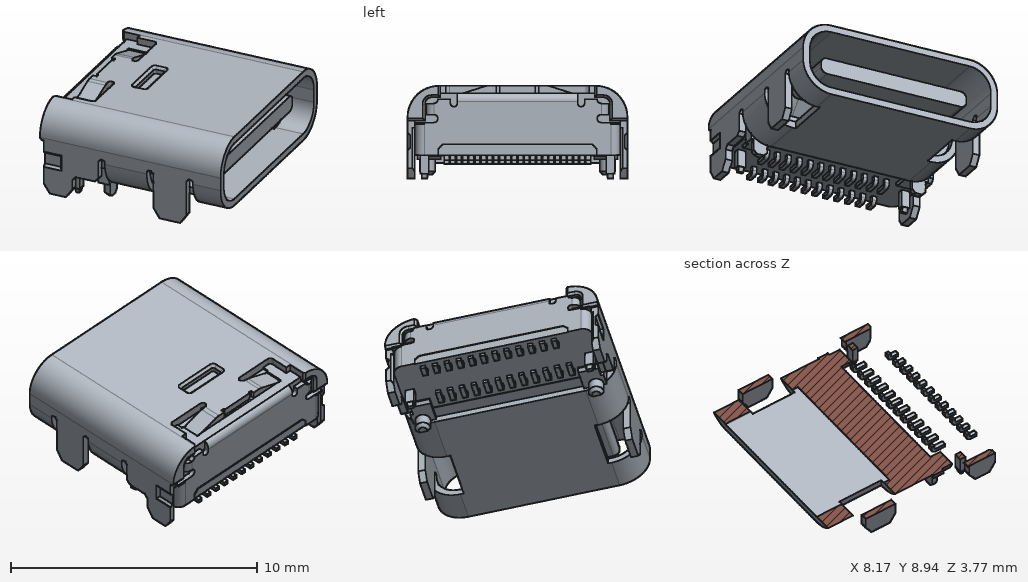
import cadquery as cq

LENGTH = 8.17
WIDTH = 8.94
HEIGHT = 3.77
HALF_WIDTH = WIDTH / 2

WALL = 0.3
SHELL_BOTTOM = 0.63
SHELL_RADIUS = 1.29
SHELL_INNER_RADIUS = SHELL_RADIUS - WALL
INNER_HALF_WIDTH = HALF_WIDTH - WALL
INNER_TOP = HEIGHT - WALL
MID_HEIGHT = (HEIGHT + SHELL_BOTTOM) / 2
BOTTOM_START = 2.94
SIDE_START = 0.17
SIDE_TOP = 2.36
SIDE_CHAMFER = 0.1
SLOT_TOP = 2.07
SLOT_WIDTH = 0.295
SLOT_ROUND = 0.11

FOOT_CHAMFER_HEIGHT = 0.42
REAR_FOOT_END = 1.475
REAR_FOOT_TIP_START = 0.46
REAR_FOOT_TIP_END = 1.17
MOUTH_FOOT_TIP_START = 5.42
MOUTH_FOOT_TIP_END = 6.34
PLATE_BOTTOM = 1.02
PLATE_STEP = 0.16
REAR_SLOT_START = BOTTOM_START - SLOT_WIDTH
MOUTH_FOOT_START = 5.13
MOUTH_FOOT_END = 6.625
MOUTH_NOTCH_HALF_WIDTH = 3.04

CAP_LENGTH = 0.805
CAP_BOTTOM = 2.36
CAP_INNER_Y = 3.755
CAP_INNER_Z = 3.3
CAP_EDGE_Y = 3.13
CAP_INNER_ROUND = 0.27
CAP_CHAMFER = 0.1

CUTOUT_HALF_WIDTH = 2.905
CUTOUT_END = 1.72
CUTOUT_ROUND = 0.13
CENTRE_HALF_WIDTH = 1.16
CENTRE_START = 0.64
CENTRE_STEP = 0.1
CENTRE_STEP_HALF_WIDTH = 0.715
CENTRE_NOTCH_DEPTH = 0.16
CENTRE_NOTCH_WIDTH = 0.14
RELIEF_WIDTH = 0.27
RELIEF_START = CUTOUT_END - RELIEF_WIDTH
RELIEF_ROUND = 0.125
RELIEF_TIP_Y = 1.01
RELIEF_FLOOR_Y = 2.49
TAB_BEND_Y = 1.35
TAB_BEND_DROP = 0.032
TAB_TIP_Y = 2.43
TAB_TIP_Z = 3.4
WINDOW_X = 2.79
WINDOW_LENGTH = 0.48
WINDOW_WIDTH = 1.86
WINDOW_ROUND = 0.1
WINDOW_BEVEL = 0.12

INDENT_END = 0.98
INDENT_DEPTH = 0.125
INDENT_BOTTOM = 1.16
INDENT_TOP = 1.86
INDENT_BEVEL = 0.11

HOUSING_END = 4.56
HOUSING_BOTTOM = 0.96
PAD_START = 1.94
PAD_BOTTOM = 0.78
PAD_INNER_Y = 3.11
PAD_OUTER_Y = 3.95
PAD_CHAMFER = 0.125
STEP_START = 2.45
STEP_HALF_WIDTH = 4.07
HOUSING_CORNER = 0.38
NOSE_DROP = 0.32
FACE_SETBACK = 0.215
NOSE_HALF_WIDTH = 2.44
CLEARANCE_DEPTH = 0.03
CLEARANCE_HALF_WIDTH = 3.22
CLEARANCE_TOP = 1.395
CLEARANCE_BEVEL = 0.19
TONGUE_THICKNESS = 0.7
TONGUE_HALF_WIDTH = 3.34
TONGUE_END = 7.6
TONGUE_ROUND = 0.27
COLLAR_LENGTH = 0.55
COLLAR_TAPER = 0.545

CONTACT_PITCH = 0.25
CONTACT_COUNT = 24
CONTACT_WIDTH = 0.2
CONTACT_THICKNESS = 0.15
CONTACT_BOTTOM = 0.59
CONTACT_BEND_RADIUS = 0.2
REAR_ROW_TIP = 0.03
REAR_ROW_BEND = 0.54
INNER_ROW_TIP = 1.43
INNER_ROW_BEND = 2.1


def block(x0, x1, y0, y1, z0, z1):
    return cq.Workplane("XY").box(x1 - x0, y1 - y0, z1 - z0, centered=False).translate((x0, y0, z0))


def both_sides(body):
    return body.union(body.mirror("XZ"))


def side_prism(sketch, y0, y1):
    """Extrude an XZ outline from y0 to y1."""
    return sketch.extrude(-(y1 - y0)).translate((0, y0, 0))


def rounded_bar(x0, x1, half_width, z0, z1, radius):
    bar = block(x0, x1, -half_width, half_width, z0, z1)
    return bar.edges("|X").fillet(radius)


def make_shell():
    shell = rounded_bar(0, LENGTH, HALF_WIDTH, SHELL_BOTTOM, HEIGHT, SHELL_RADIUS)
    shell = shell.cut(
        rounded_bar(0, LENGTH, INNER_HALF_WIDTH, SHELL_BOTTOM + WALL, INNER_TOP, SHELL_INNER_RADIUS)
    )
    underside = block(0, BOTTOM_START, -HALF_WIDTH, HALF_WIDTH, 0, SLOT_TOP)
    shell = shell.cut(underside.edges("|Y and >X and >Z").fillet(SLOT_ROUND))
    shell = shell.cut(block(0, SIDE_START, -HALF_WIDTH, HALF_WIDTH, 0, CAP_BOTTOM))
    notch = block(
        MOUTH_FOOT_START - SLOT_WIDTH, MOUTH_FOOT_END + SLOT_WIDTH,
        MOUTH_NOTCH_HALF_WIDTH, HALF_WIDTH, 0, SLOT_TOP,
    )
    notch = notch.edges("|Y and >Z").fillet(SLOT_ROUND)
    shell = shell.cut(both_sides(notch))

    rear_outline = (
        cq.Workplane("XZ")
        .moveTo(SIDE_START, SIDE_TOP)
        .lineTo(SIDE_START, FOOT_CHAMFER_HEIGHT)
        .lineTo(REAR_FOOT_TIP_START, 0)
        .lineTo(REAR_FOOT_TIP_END, 0)
        .lineTo(REAR_FOOT_END, FOOT_CHAMFER_HEIGHT)
        .lineTo(REAR_FOOT_END, PLATE_BOTTOM - PLATE_STEP)
        .lineTo(REAR_FOOT_END + PLATE_STEP, PLATE_BOTTOM)
        .lineTo(REAR_SLOT_START - PLATE_STEP, PLATE_BOTTOM)
        .lineTo(REAR_SLOT_START, PLATE_BOTTOM + PLATE_STEP)
        .lineTo(REAR_SLOT_START, SLOT_TOP - SLOT_ROUND)
        .lineTo(REAR_SLOT_START + SLOT_ROUND, SLOT_TOP)
        .lineTo(REAR_SLOT_START + SLOT_ROUND, SIDE_TOP)
        .close()
    )
    mouth_outline = (
        cq.Workplane("XZ")
        .moveTo(MOUTH_FOOT_START - SLOT_ROUND, SIDE_TOP)
        .lineTo(MOUTH_FOOT_START - SLOT_ROUND, SLOT_TOP)
        .lineTo(MOUTH_FOOT_START, SLOT_TOP - SLOT_ROUND)
        .lineTo(MOUTH_FOOT_START, FOOT_CHAMFER_HEIGHT)
        .lineTo(MOUTH_FOOT_TIP_START, 0)
        .lineTo(MOUTH_FOOT_TIP_END, 0)
        .lineTo(MOUTH_FOOT_END, FOOT_CHAMFER_HEIGHT)
        .lineTo(MOUTH_FOOT_END, SLOT_TOP - SLOT_ROUND)
        .lineTo(MOUTH_FOOT_END + SLOT_ROUND, SLOT_TOP)
        .lineTo(MOUTH_FOOT_END + SLOT_ROUND, SIDE_TOP)
        .close()
    )
    rear_foot = side_prism(rear_outline, INNER_HALF_WIDTH, HALF_WIDTH)
    rear_foot = rear_foot.faces("<X").edges("<Y").chamfer(SIDE_CHAMFER)
    mouth_foot = side_prism(mouth_outline, INNER_HALF_WIDTH, HALF_WIDTH)
    shell = shell.union(both_sides(rear_foot)).union(both_sides(mouth_foot))
    return cut_top_wall(shell)


def cut_top_wall(shell):
    cutout = block(-0.09, CUTOUT_END, -CUTOUT_HALF_WIDTH, CUTOUT_HALF_WIDTH, INNER_TOP, HEIGHT)
    cutout = cutout.edges("|Z and >X").fillet(CUTOUT_ROUND)
    shell = shell.cut(cutout)
    shell = shell.cut(block(0, CAP_LENGTH, -HALF_WIDTH, HALF_WIDTH, CAP_BOTTOM, HEIGHT))

    centre = block(
        CENTRE_START, CUTOUT_END, -CENTRE_HALF_WIDTH, CENTRE_HALF_WIDTH, INNER_TOP, HEIGHT
    )
    centre = centre.cut(
        block(
            CENTRE_START, CENTRE_START + CENTRE_STEP,
            -CENTRE_STEP_HALF_WIDTH, CENTRE_STEP_HALF_WIDTH, INNER_TOP, HEIGHT,
        )
    )
    edge_notch = block(
        CENTRE_START, CENTRE_START + CENTRE_NOTCH_DEPTH,
        CENTRE_STEP_HALF_WIDTH, CENTRE_STEP_HALF_WIDTH + CENTRE_NOTCH_WIDTH, INNER_TOP, HEIGHT,
    )
    relief = block(RELIEF_START, CUTOUT_END, RELIEF_TIP_Y, CENTRE_HALF_WIDTH, INNER_TOP, HEIGHT)
    relief = relief.edges("|Z and <Y").fillet(RELIEF_ROUND)
    return shell.union(centre.cut(both_sides(edge_notch)).cut(both_sides(relief)))


def make_tab():
    """Spring tab bent down from the centre of the top wall into the housing."""
    bend_width = TAB_BEND_Y - CENTRE_HALF_WIDTH
    bend_radius = (bend_width**2 + TAB_BEND_DROP**2) / (2 * TAB_BEND_DROP)
    tab = (
        cq.Workplane("YZ")
        .moveTo(CENTRE_HALF_WIDTH, HEIGHT)
        .radiusArc((TAB_BEND_Y, HEIGHT - TAB_BEND_DROP), bend_radius)
        .lineTo(TAB_TIP_Y, TAB_TIP_Z)
        .lineTo(TAB_TIP_Y, TAB_TIP_Z - WALL)
        .lineTo(CENTRE_HALF_WIDTH, TAB_TIP_Z - WALL)
        .close()
        .extrude(RELIEF_START - CENTRE_START)
        .translate((CENTRE_START, 0, 0))
    )
    return tab


def make_cap():
    inner = CAP_INNER_ROUND
    cap = (
        cq.Workplane("YZ")
        .moveTo(CAP_EDGE_Y, HEIGHT)
        .lineTo(HALF_WIDTH - SHELL_RADIUS, HEIGHT)
        .radiusArc((HALF_WIDTH, HEIGHT - SHELL_RADIUS), SHELL_RADIUS)
        .lineTo(HALF_WIDTH, CAP_BOTTOM)
        .lineTo(CAP_INNER_Y, CAP_BOTTOM)
        .lineTo(CAP_INNER_Y, CAP_INNER_Z - inner)
        .radiusArc((CAP_INNER_Y - inner, CAP_INNER_Z), -inner)
        .lineTo(CAP_EDGE_Y, CAP_INNER_Z)
        .close()
        .extrude(CAP_LENGTH)
    )
    inner_edges = cq.selectors.BoxSelector(
        (-0.09, CAP_EDGE_Y - 0.09, CAP_BOTTOM + 0.09), (0.09, CAP_INNER_Y + 0.09, HEIGHT - 0.09)
    )
    bottom_edge = cq.selectors.StringSyntaxSelector("|Y and <X and <Z")
    return cap.edges(inner_edges + bottom_edge).chamfer(CAP_CHAMFER)


def make_window():
    """Bevelled window through the top wall."""
    def outline(growth):
        length = WINDOW_LENGTH + 2 * growth
        width = WINDOW_WIDTH + 2 * growth
        return cq.Sketch().rect(length, width).vertices().fillet(WINDOW_ROUND + growth / 2)

    straight = cq.Workplane("XY", origin=(WINDOW_X, 0, INNER_TOP)).placeSketch(outline(0)).extrude(WALL)
    bevel = cq.Workplane("XY", origin=(WINDOW_X, 0, HEIGHT - WINDOW_BEVEL)).placeSketch(
        outline(0), outline(WINDOW_BEVEL).moved(cq.Location(cq.Vector(0, 0, WINDOW_BEVEL)))
    ).loft()
    return straight.union(bevel)


def make_indent():
    indent = block(
        SIDE_START, INDENT_END, HALF_WIDTH - INDENT_DEPTH, HALF_WIDTH, INDENT_BOTTOM, INDENT_TOP
    )
    return indent.edges("<Y and (not <X)").chamfer(INDENT_BEVEL)


def make_face_recess():
    """Stepped recess in the upper corner of the housing rear face."""
    slot_radius = 0.14
    lobe_radius = 0.16
    lobe_y = 3.4
    lobe_bottom = 2.28
    shoulder_z = 3.22
    shoulder_y = 3.24
    slot_outer_y = NOSE_HALF_WIDTH + 2 * slot_radius
    slot_z = 3.07
    return (
        cq.Workplane("YZ")
        .moveTo(NOSE_HALF_WIDTH, HEIGHT)
        .lineTo(NOSE_HALF_WIDTH, slot_z)
        .radiusArc((slot_outer_y, slot_z), -slot_radius)
        .lineTo(slot_outer_y, shoulder_z)
        .lineTo(shoulder_y, shoulder_z)
        .radiusArc((lobe_y, shoulder_z - lobe_radius), -lobe_radius)
        .lineTo(lobe_y, lobe_bottom + 2 * lobe_radius)
        .radiusArc((lobe_y, lobe_bottom), -lobe_radius)
        .lineTo(HALF_WIDTH, lobe_bottom)
        .lineTo(HALF_WIDTH, HEIGHT)
        .close()
        .extrude(FACE_SETBACK)
    )


def make_housing():
    housing = rounded_bar(
        0, HOUSING_END, INNER_HALF_WIDTH, SHELL_BOTTOM + WALL, INNER_TOP, SHELL_INNER_RADIUS
    )
    housing = housing.cut(block(0, STEP_START, -HALF_WIDTH, HALF_WIDTH, 0, MID_HEIGHT))
    lower = block(
        0, STEP_START, -INNER_HALF_WIDTH, INNER_HALF_WIDTH, HOUSING_BOTTOM, HEIGHT - SHELL_RADIUS
    )
    lower = lower.edges("|Z and <X").fillet(HOUSING_CORNER)
    pad = block(PAD_START, STEP_START, PAD_INNER_Y, PAD_OUTER_Y, PAD_BOTTOM, HOUSING_BOTTOM)
    pad = pad.edges("|Y and <X and <Z").chamfer(PAD_CHAMFER)
    step = block(STEP_START, BOTTOM_START, PAD_INNER_Y, STEP_HALF_WIDTH, PAD_BOTTOM, MID_HEIGHT)
    housing = housing.union(lower).union(both_sides(pad)).union(both_sides(step))

    nose_bottom = INNER_TOP - NOSE_DROP
    nose_radius = (FACE_SETBACK**2 + NOSE_DROP**2) / (2 * FACE_SETBACK)
    nose = (
        cq.Workplane("XZ")
        .moveTo(0, nose_bottom)
        .radiusArc((FACE_SETBACK, INNER_TOP), nose_radius)
        .lineTo(0, INNER_TOP)
        .close()
    )
    housing = housing.cut(side_prism(nose, -NOSE_HALF_WIDTH, NOSE_HALF_WIDTH))
    housing = housing.cut(both_sides(make_face_recess()))

    clearance = block(
        0, CLEARANCE_DEPTH, -CLEARANCE_HALF_WIDTH, CLEARANCE_HALF_WIDTH, HOUSING_BOTTOM, CLEARANCE_TOP
    )
    clearance = clearance.edges("|X and >Z").chamfer(CLEARANCE_BEVEL)
    housing = housing.cut(clearance)

    sunken = block(CENTRE_START, RELIEF_START, -TAB_TIP_Y, TAB_TIP_Y, TAB_TIP_Z, INNER_TOP)
    housing = housing.cut(sunken)
    relief_floor = block(
        RELIEF_START, CUTOUT_END, -RELIEF_FLOOR_Y, RELIEF_FLOOR_Y, TAB_TIP_Z, INNER_TOP
    )
    housing = housing.cut(relief_floor)
    return housing.union(both_sides(make_pillar()))


def make_pillar():
    """Rounded pillar standing in the corner recess."""
    inner_y = 3.4
    outer_y = 3.7
    bottom = 2.6
    top = 3.05
    radius = ((outer_y - inner_y) ** 2 + FACE_SETBACK**2) / (2 * FACE_SETBACK)
    return (
        cq.Workplane("XY")
        .moveTo(0, inner_y)
        .radiusArc((FACE_SETBACK, outer_y), radius)
        .lineTo(FACE_SETBACK + 0.09, outer_y)
        .lineTo(FACE_SETBACK + 0.09, inner_y)
        .close()
        .extrude(top - bottom)
        .translate((0, 0, bottom))
    )


def make_tongue():
    """Rounded contact tongue on a tapered collar at the front of the housing."""
    half = TONGUE_THICKNESS / 2
    tongue = rounded_bar(
        HOUSING_END, TONGUE_END, TONGUE_HALF_WIDTH,
        MID_HEIGHT - half, MID_HEIGHT + half, TONGUE_ROUND,
    )
    collar_half = half + COLLAR_LENGTH
    collar = rounded_bar(
        HOUSING_END, HOUSING_END + COLLAR_LENGTH, TONGUE_HALF_WIDTH + COLLAR_LENGTH,
        MID_HEIGHT - collar_half, MID_HEIGHT + collar_half, TONGUE_ROUND + COLLAR_LENGTH,
    )
    return tongue.union(collar.faces(">X").chamfer(COLLAR_TAPER))


def make_contact(tip_x, bend_x, y):
    """L-shaped contact: a flat foot with a rounded bend up into the housing."""
    outer = CONTACT_BEND_RADIUS
    inner = outer - CONTACT_THICKNESS
    top = HOUSING_BOTTOM + 0.09
    outline = (
        cq.Workplane("XZ")
        .moveTo(tip_x, CONTACT_BOTTOM)
        .lineTo(bend_x - outer, CONTACT_BOTTOM)
        .radiusArc((bend_x, CONTACT_BOTTOM + outer), -outer)
        .lineTo(bend_x, top)
        .lineTo(bend_x - CONTACT_THICKNESS, top)
        .lineTo(bend_x - CONTACT_THICKNESS, CONTACT_BOTTOM + outer)
        .radiusArc((bend_x - outer, CONTACT_BOTTOM + CONTACT_THICKNESS), inner)
        .lineTo(tip_x, CONTACT_BOTTOM + CONTACT_THICKNESS)
        .close()
    )
    return side_prism(outline, y - CONTACT_WIDTH / 2, y + CONTACT_WIDTH / 2)


def make_square_peg():
    """Rectangular peg with a tapered tip standing on Z = 0."""
    x, y = 1.42, 3.77
    body_bottom = 0.21
    body_length, body_width = 0.27, 0.36
    shoulder_length, shoulder_width = 0.23, 0.25
    tip_length, tip_width = 0.125, 0.23
    body = (
        cq.Workplane("XY", origin=(x, y, body_bottom))
        .rect(body_length, body_width)
        .extrude(HOUSING_BOTTOM - body_bottom)
    )
    tip = (
        cq.Workplane("XY", origin=(x, y, 0))
        .rect(tip_length, tip_width)
        .workplane(offset=body_bottom)
        .rect(shoulder_length, shoulder_width)
        .loft()
    )
    return body.union(tip)


def make_round_peg():
    """Chamfered round peg, cut flat where the shell floor begins."""
    x, y = 2.87, 3.65
    radius = 0.31
    chamfer = 0.14
    bottom = 0.15
    peg = (
        cq.Workplane("XY", origin=(x, y, bottom))
        .circle(radius)
        .extrude(HOUSING_BOTTOM - bottom)
        .faces("<Z").chamfer(chamfer)
    )
    return peg.intersect(block(0, BOTTOM_START, 0, HALF_WIDTH, 0, HEIGHT))


result = make_shell().union(make_housing()).union(make_tongue())
result = result.union(both_sides(make_cap())).union(both_sides(make_tab()))
result = result.union(both_sides(make_square_peg())).union(both_sides(make_round_peg()))
result = result.cut(make_window()).cut(both_sides(make_indent()))

for index in range(CONTACT_COUNT):
    contact_y = (index - (CONTACT_COUNT - 1) / 2) * CONTACT_PITCH
    if index % 2:
        result = result.union(make_contact(REAR_ROW_TIP, REAR_ROW_BEND, contact_y))
    else:
        result = result.union(make_contact(INNER_ROW_TIP, INNER_ROW_BEND, contact_y))